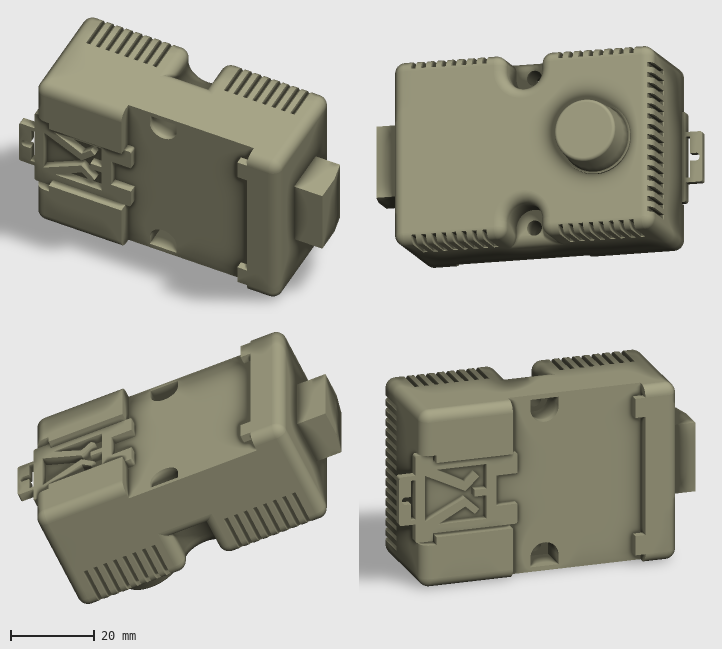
import cadquery as cq
import math

HOUSING_LENGTH = 65.0
HOUSING_DEPTH = 28.6
HOUSING_HEIGHT = 45.0
EDGE_RADIUS = 2.55
HALF_LENGTH = HOUSING_LENGTH / 2
HALF_HEIGHT = HOUSING_HEIGHT / 2

SCREW_Z = 18.45
SCREW_RADIUS = 1.9
ACCESS_RADIUS = 4.5
VENT_AND_ACCESS_FLOOR = 18.45
HEAD_POCKET_RADIUS = 3.6
HEAD_POCKET_CENTRE_Z = 18.9
HEAD_POCKET_END_Z = 21.3
HEAD_POCKET_FLOOR = 11.6

CHANNEL_LEFT = -9.3
CHANNEL_RIGHT = 24.3
CHANNEL_DEPTH = 3.8
LIP_REACH = 2.55
LIP_THICKNESS = 1.95
LIP_HEIGHT = 4.9

RECESS_HALF_HEIGHT = 9.5
RECESS_SHOULDER_HALF_HEIGHT = 11.4
RECESS_SHOULDER_END = -28.7

VENT_WIDTH = 1.2
WALL_VENT_DEPTH = 2.0
END_VENT_DEPTH = 1.25
WALL_VENT_COUNT = 8
WALL_VENT_NEAR = 9.55
WALL_VENT_FAR = 27.3
END_VENT_COUNT = 15
END_VENT_LOW = -18.1
END_VENT_HIGH = 17.5

KNOB_X = -18.5
KNOB_COLLAR_RADIUS = 8.8
KNOB_COLLAR_HEIGHT = 0.6
KNOB_BASE_RADIUS = 8.3
KNOB_TIP_RADIUS = 7.5
KNOB_HEIGHT = 9.6
KNOB_TIP_ROUND = 0.8

CONNECTOR_REACH = 7.5
CONNECTOR_HALF_HEIGHT = 8.8
CONNECTOR_BACK = 8.9
CONNECTOR_FRONT = 20.55
CONNECTOR_BEVEL_START = 15.5
CONNECTOR_BEVEL = 1.0

CLIP_THICKNESS = 2.1
CLIP_OFFSET_Z = 0.12
CLIP_TAB_LEFT = -37.55
CLIP_SHOULDER_LEFT = -33.4
CLIP_SHOULDER_RIGHT = -28.9
CLIP_RIGHT = -7.6
CLIP_TAB_HALF_HEIGHT = 6.2
CLIP_SHOULDER_HALF_HEIGHT = 11.1
CLIP_HALF_HEIGHT = 9.1
CLIP_CORNER_RADIUS = 0.55
CLIP_NOTCH_LEFT = -12.9
CLIP_NOTCH_HALF_HEIGHT = 3.9

TAB_SLOT_LEFT = -34.5
TAB_SLOT_HALF_HEIGHT = 5.05
TAB_SLOT_STEM_LEFT = -36.85
TAB_SLOT_STEM_HALF_HEIGHT = 0.9
TAB_SLOT_STEM_ROUND = 0.8

WINDOW_LEFT = -31.0
WINDOW_RIGHT = -15.4
WINDOW_HALF_HEIGHT = 7.0
ARM_ROOT_X = -28.15
ARM_ROOT_Z = 5.9
ARM_BEND_X = -20.8
ARM_BEND_INNER_Z = 0.85
ARM_BEND_OUTER_Z = 3.1
ARM_TIP_LENGTH = 4.8
ARM_TIP_WIDTH = 1.55
ARM_TIP_ANGLE = 43.0
STOP_LEFT = -18.45
STOP_HALF_HEIGHT = 0.85


def block(x_range, y_range, z_range):
    """Box spanning the given (low, high) range along each axis."""
    spans = [high - low for low, high in (x_range, y_range, z_range)]
    corner = (x_range[0], y_range[0], z_range[0])
    return cq.Workplane("XY").box(*spans, centered=False).translate(corner)


def plan_at(y):
    """Workplane at depth y with local axes x and z, extruding toward +y for negative lengths."""
    return cq.Workplane("XZ", origin=(0, y, 0))


def both_signs(shape):
    """The shape joined with its mirror image below the middle plane z = 0."""
    return shape.union(shape.mirror("XY"))


def rounded_shell():
    """Rounded box with a U-shaped screw access pocket in the top and bottom walls."""
    box = block((-HALF_LENGTH, HALF_LENGTH), (0, HOUSING_DEPTH), (-HALF_HEIGHT, HALF_HEIGHT))
    access = (
        plan_at(VENT_AND_ACCESS_FLOOR)
        .moveTo(-ACCESS_RADIUS, HALF_HEIGHT)
        .lineTo(-ACCESS_RADIUS, SCREW_Z)
        .threePointArc((0, SCREW_Z - ACCESS_RADIUS), (ACCESS_RADIUS, SCREW_Z))
        .lineTo(ACCESS_RADIUS, HALF_HEIGHT)
        .close()
        .extrude(VENT_AND_ACCESS_FLOOR - HOUSING_DEPTH)
    )
    shell = box.cut(both_signs(access))
    return shell.faces("<X or >X or <Y or >Y or <Z or >Z").edges().fillet(EDGE_RADIUS)


def screw_holes():
    """Through holes, each with a D-shaped head pocket in the back."""
    hole = plan_at(0).center(0, SCREW_Z).circle(SCREW_RADIUS).extrude(-HOUSING_DEPTH)
    pocket = (
        plan_at(0)
        .moveTo(-HEAD_POCKET_RADIUS, HEAD_POCKET_END_Z)
        .lineTo(-HEAD_POCKET_RADIUS, HEAD_POCKET_CENTRE_Z)
        .threePointArc(
            (0, HEAD_POCKET_CENTRE_Z - HEAD_POCKET_RADIUS), (HEAD_POCKET_RADIUS, HEAD_POCKET_CENTRE_Z)
        )
        .lineTo(HEAD_POCKET_RADIUS, HEAD_POCKET_END_Z)
        .close()
        .extrude(-HEAD_POCKET_FLOOR)
    )
    return both_signs(hole.union(pocket))


def rail_channel():
    return block((CHANNEL_LEFT, CHANNEL_RIGHT), (0, CHANNEL_DEPTH), (-HALF_HEIGHT, HALF_HEIGHT))


def rail_lips():
    lip_end = HALF_HEIGHT - EDGE_RADIUS
    lip = block(
        (CHANNEL_RIGHT - LIP_REACH, CHANNEL_RIGHT), (0, LIP_THICKNESS), (lip_end - LIP_HEIGHT, lip_end)
    )
    return both_signs(lip)


def clip_recess():
    depth = (0, CHANNEL_DEPTH)
    track = block((-HALF_LENGTH, CHANNEL_LEFT), depth, (-RECESS_HALF_HEIGHT, RECESS_HALF_HEIGHT))
    shoulder = block(
        (-HALF_LENGTH, RECESS_SHOULDER_END),
        depth,
        (-RECESS_SHOULDER_HALF_HEIGHT, RECESS_SHOULDER_HALF_HEIGHT),
    )
    return track.union(shoulder)


def spaced(first, last, count):
    """Evenly spaced positions from first to last."""
    return [first + (last - first) * i / (count - 1) for i in range(count)]


def cut_vents(housing):
    """Slots that run from the vent floor to the front, in the top, bottom and -x walls."""
    run = (VENT_AND_ACCESS_FLOOR, HOUSING_DEPTH)
    half = VENT_WIDTH / 2
    for distance in spaced(WALL_VENT_NEAR, WALL_VENT_FAR, WALL_VENT_COUNT):
        for x in (-distance, distance):
            slot = block((x - half, x + half), run, (HALF_HEIGHT - WALL_VENT_DEPTH, HALF_HEIGHT))
            housing = housing.cut(both_signs(slot))
    for z in spaced(END_VENT_LOW, END_VENT_HIGH, END_VENT_COUNT):
        slot = block((-HALF_LENGTH, END_VENT_DEPTH - HALF_LENGTH), run, (z - half, z + half))
        housing = housing.cut(slot)
    return housing


def knob():
    """Tapered knob on a thin collar."""
    collar = plan_at(HOUSING_DEPTH).circle(KNOB_COLLAR_RADIUS).extrude(-KNOB_COLLAR_HEIGHT)
    cone = (
        cq.Workplane("XY")
        .moveTo(0, HOUSING_DEPTH)
        .lineTo(KNOB_BASE_RADIUS, HOUSING_DEPTH)
        .lineTo(KNOB_TIP_RADIUS, HOUSING_DEPTH + KNOB_HEIGHT)
        .lineTo(0, HOUSING_DEPTH + KNOB_HEIGHT)
        .close()
        .revolve(360, (0, 0, 0), (0, 1, 0))
        .faces(">Y")
        .edges()
        .fillet(KNOB_TIP_ROUND)
    )
    return collar.union(cone).translate((KNOB_X, 0, 0))


def connector():
    """Block on the +x end whose outer face leans back toward the front."""
    tip = HALF_LENGTH + CONNECTOR_REACH
    root = HALF_LENGTH - EDGE_RADIUS
    outline = [
        (root, CONNECTOR_BACK),
        (tip, CONNECTOR_BACK),
        (tip, CONNECTOR_BEVEL_START),
        (tip - CONNECTOR_BEVEL, CONNECTOR_FRONT),
        (root, CONNECTOR_FRONT),
    ]
    return cq.Workplane("XY").polyline(outline).close().extrude(CONNECTOR_HALF_HEIGHT, both=True)


def make_housing():
    housing = rounded_shell().cut(rail_channel()).cut(clip_recess()).union(rail_lips())
    housing = cut_vents(housing.cut(screw_holes()))
    return housing.union(knob()).union(connector())


def clip_block(left, right, half_height, offset_z=0.0):
    """Full-thickness piece of the clip between two x positions."""
    depth = (CHANNEL_DEPTH - CLIP_THICKNESS, CHANNEL_DEPTH)
    return block((left, right), depth, (offset_z - half_height, offset_z + half_height))


def clip_plate():
    """Plate with a pull tab, wider shoulders and a notched right end, outer corners rounded."""
    tab = clip_block(CLIP_TAB_LEFT, CLIP_SHOULDER_LEFT, CLIP_TAB_HALF_HEIGHT)
    tab = tab.edges("|Y and <X").fillet(CLIP_CORNER_RADIUS)
    shoulder = clip_block(CLIP_SHOULDER_LEFT, CLIP_SHOULDER_RIGHT, CLIP_SHOULDER_HALF_HEIGHT, CLIP_OFFSET_Z)
    shoulder = shoulder.edges("|Y and <X").fillet(CLIP_CORNER_RADIUS)
    track = clip_block(CLIP_SHOULDER_RIGHT, CLIP_RIGHT, CLIP_HALF_HEIGHT, CLIP_OFFSET_Z)
    track = track.edges("|Y and >X").fillet(CLIP_CORNER_RADIUS)
    notch = clip_block(CLIP_NOTCH_LEFT, CLIP_RIGHT, CLIP_NOTCH_HALF_HEIGHT)
    return tab.union(shoulder).union(track).cut(notch)


def tab_slot():
    bar = clip_block(TAB_SLOT_LEFT, CLIP_SHOULDER_LEFT, TAB_SLOT_HALF_HEIGHT)
    stem = clip_block(TAB_SLOT_STEM_LEFT, TAB_SLOT_LEFT, TAB_SLOT_STEM_HALF_HEIGHT)
    stem = stem.edges("|Y and <X").fillet(TAB_SLOT_STEM_ROUND)
    return bar.union(stem)


def spring_arms():
    """Two mirrored arms that slope inward from the left of the window and bend outward at the tip."""
    angle = math.radians(ARM_TIP_ANGLE)
    along = (math.cos(angle), math.sin(angle))
    across = (-math.sin(angle), math.cos(angle))
    tip_inner = (ARM_BEND_X + ARM_TIP_LENGTH * along[0], ARM_BEND_INNER_Z + ARM_TIP_LENGTH * along[1])
    tip_outer = (tip_inner[0] + ARM_TIP_WIDTH * across[0], tip_inner[1] + ARM_TIP_WIDTH * across[1])
    top = WINDOW_HALF_HEIGHT + CLIP_OFFSET_Z
    outline = [
        (WINDOW_LEFT, ARM_ROOT_Z),
        (ARM_BEND_X, ARM_BEND_INNER_Z),
        tip_inner,
        tip_outer,
        (ARM_BEND_X, ARM_BEND_OUTER_Z),
        (ARM_ROOT_X, top),
        (WINDOW_LEFT, top),
    ]
    arm = plan_at(CHANNEL_DEPTH).polyline(outline).close().extrude(CLIP_THICKNESS)
    return both_signs(arm)


def make_clip():
    window = clip_block(WINDOW_LEFT, WINDOW_RIGHT, WINDOW_HALF_HEIGHT, CLIP_OFFSET_Z)
    stop = clip_block(STOP_LEFT, WINDOW_RIGHT, STOP_HALF_HEIGHT)
    return clip_plate().cut(tab_slot()).cut(window).union(spring_arms()).union(stop)


housing = make_housing()
rail_clip = make_clip()
result = cq.Compound.makeCompound([housing.solids().val(), rail_clip.solids().val()])